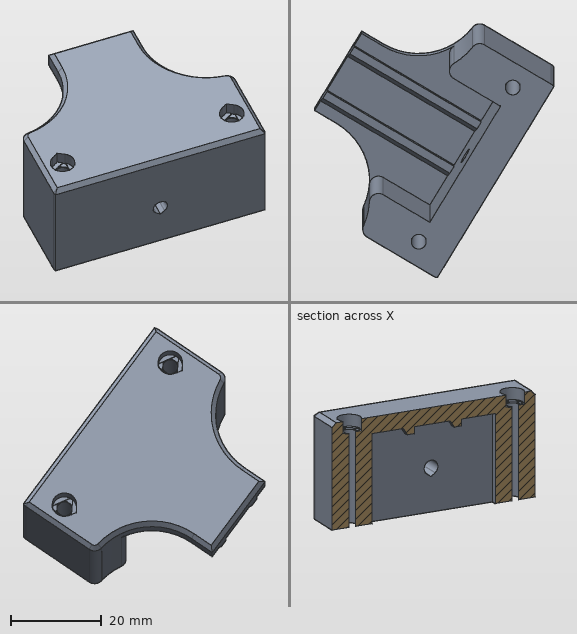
import cadquery as cq
import math

LENGTH = 40.6
WIDTH = 50.42
HEIGHT = 25.0

TONGUE_WIDTH = 20.2
TONGUE_STRAIGHT = 5.6
PLATE_THICKNESS = 4.0
CORNER_RADIUS = 2.0
BACK_ARC_LENGTH = 0.83
TOP_CHAMFER = 1.0

CHANNEL_WIDTH = 30.4
CHANNEL_BACK_X = 32.75

RELIEF_X = 20.6
RELIEF_Y = 23.2

RIB_HEIGHT = 1.6
RIB_TOP_WIDTH = 2.8
RIB_BOTTOM_WIDTH = 1.8
RIB_UPRIGHT_SIDES = (4.75, -6.9)

BACK_HOLE_RADIUS = 1.7
BACK_HOLE_Z = 10.4
BACK_HOLE_TIP = 2.1

SCREW_RADIUS = 1.65
SCREW_X = 32.9
SCREW_Y = 20.2
HEAD_RADIUS = 2.7
HEAD_TIP = 3.2
HEAD_DEPTH = 2.8
BRIDGE_STEP = 0.2

TRIANGLE_CIRCUMDIAMETER = 4 * SCREW_RADIUS
TRIANGLE_TURN = 90

HALF_WIDTH = WIDTH / 2
HALF_TONGUE = TONGUE_WIDTH / 2
SHOULDER_RADIUS = HALF_WIDTH - HALF_TONGUE
SHOULDER_X = TONGUE_STRAIGHT + SHOULDER_RADIUS
UNDERSIDE_Z = HEIGHT - PLATE_THICKNESS
ROUNDED_LENGTH = LENGTH - BACK_ARC_LENGTH + CORNER_RADIUS
HALF_CHANNEL = CHANNEL_WIDTH / 2


def box(x_range, y_range, z_range):
    """Box between the given limits on each axis."""
    (x0, x1), (y0, y1), (z0, z1) = x_range, y_range, z_range
    return cq.Workplane("XY").box(x1 - x0, y1 - y0, z1 - z0, centered=False).translate((x0, y0, z0))


def teardrop(plane, radius, tip):
    """Circle drawn out by two tangent lines to a point at -X of the workplane."""
    tangent_x = -radius ** 2 / tip
    tangent_y = math.sqrt(radius ** 2 - tangent_x ** 2)
    return (
        plane.moveTo(-tip, 0)
        .lineTo(tangent_x, tangent_y)
        .threePointArc((radius, 0), (tangent_x, -tangent_y))
        .close()
    )


def make_body():
    """Full-height block with the tongue outline, rounded corners and a chamfered top."""
    arc_mid = SHOULDER_RADIUS * math.sqrt(0.5)
    mid_x = TONGUE_STRAIGHT + arc_mid
    mid_y = HALF_WIDTH - arc_mid
    body = (
        cq.Workplane("XY")
        .moveTo(0, -HALF_TONGUE)
        .lineTo(TONGUE_STRAIGHT, -HALF_TONGUE)
        .threePointArc((mid_x, -mid_y), (SHOULDER_X, -HALF_WIDTH))
        .lineTo(ROUNDED_LENGTH, -HALF_WIDTH)
        .lineTo(ROUNDED_LENGTH, HALF_WIDTH)
        .lineTo(SHOULDER_X, HALF_WIDTH)
        .threePointArc((mid_x, mid_y), (TONGUE_STRAIGHT, HALF_TONGUE))
        .lineTo(0, HALF_TONGUE)
        .close()
        .extrude(HEIGHT)
    )
    corners = cq.selectors.BoxSelector(
        (SHOULDER_X - CORNER_RADIUS, -WIDTH, 0), (ROUNDED_LENGTH + CORNER_RADIUS, WIDTH, HEIGHT)
    )
    body = body.edges("|Z").edges(corners).fillet(CORNER_RADIUS)
    body = body.faces(">Z").edges().chamfer(TOP_CHAMFER)
    flat_back = box((0, LENGTH), (-HALF_WIDTH, HALF_WIDTH), (0, HEIGHT))
    flat_back = flat_back.edges(">X and >Z").chamfer(TOP_CHAMFER)
    return body.intersect(flat_back)


def cut_underside(body):
    """Open the channel between the legs, round the leg tips and cut the relief."""
    plate = body.intersect(box((0, LENGTH), (-HALF_WIDTH, HALF_WIDTH), (UNDERSIDE_Z, HEIGHT)))
    legs = body.intersect(box((0, LENGTH), (-HALF_WIDTH, HALF_WIDTH), (0, UNDERSIDE_Z)))
    legs = legs.cut(box((0, CHANNEL_BACK_X), (-HALF_CHANNEL, HALF_CHANNEL), (0, UNDERSIDE_Z)))
    legs = legs.edges("|Z and <X").fillet(CORNER_RADIUS)
    legs = legs.cut(box((0, RELIEF_X), (RELIEF_Y, HALF_WIDTH), (0, UNDERSIDE_Z)))
    return plate.union(legs)


def make_rib(upright_y):
    """Rib hanging from the plate, from the tongue tip to the channel's back wall."""
    bottom_z = UNDERSIDE_Z - RIB_HEIGHT
    return (
        cq.Workplane("YZ")
        .moveTo(upright_y, UNDERSIDE_Z)
        .lineTo(upright_y, bottom_z)
        .lineTo(upright_y + RIB_BOTTOM_WIDTH, bottom_z)
        .lineTo(upright_y + RIB_TOP_WIDTH, UNDERSIDE_Z)
        .close()
        .extrude(CHANNEL_BACK_X)
    )


def make_back_hole():
    """Teardrop hole along X through the back wall, its point down."""
    plane = cq.Workplane(cq.Plane(origin=(0, 0, BACK_HOLE_Z), xDir=(0, 0, 1), normal=(1, 0, 0)))
    return teardrop(plane, BACK_HOLE_RADIUS, BACK_HOLE_TIP).extrude(LENGTH)


def make_triangle(top_z, turn):
    """Triangular prism around the screw hole, its sides tangent to the hole, below top_z."""
    return (
        cq.Workplane("XY")
        .polygon(3, TRIANGLE_CIRCUMDIAMETER)
        .extrude(-BRIDGE_STEP)
        .rotate((0, 0, 0), (0, 0, 1), turn)
        .translate((0, 0, top_z))
    )


def make_screw_hole():
    """Screw hole with a head recess stepping down through a triangle and a hexagon."""
    floor_z = HEIGHT - HEAD_DEPTH
    recess_depth = HEAD_DEPTH + 2 * BRIDGE_STEP
    recess = teardrop(cq.Workplane("XY").workplane(offset=HEIGHT), HEAD_RADIUS, HEAD_TIP)
    recess = recess.extrude(-recess_depth)
    hexagon_z = floor_z - BRIDGE_STEP
    triangle = make_triangle(floor_z, -TRIANGLE_TURN)
    hexagon = make_triangle(hexagon_z, -TRIANGLE_TURN).intersect(make_triangle(hexagon_z, TRIANGLE_TURN))
    clear = box((-HEAD_TIP, HEAD_TIP), (-HEAD_TIP, HEAD_TIP), (floor_z, HEIGHT))
    shaft = cq.Workplane("XY").circle(SCREW_RADIUS).extrude(HEIGHT)
    return recess.intersect(clear.union(triangle).union(hexagon)).union(shaft)


result = cut_underside(make_body())
for rib_y in RIB_UPRIGHT_SIDES:
    result = result.union(make_rib(rib_y))
result = result.cut(make_back_hole())
for screw_y in (SCREW_Y, -SCREW_Y):
    result = result.cut(make_screw_hole().translate((SCREW_X, screw_y, 0)))